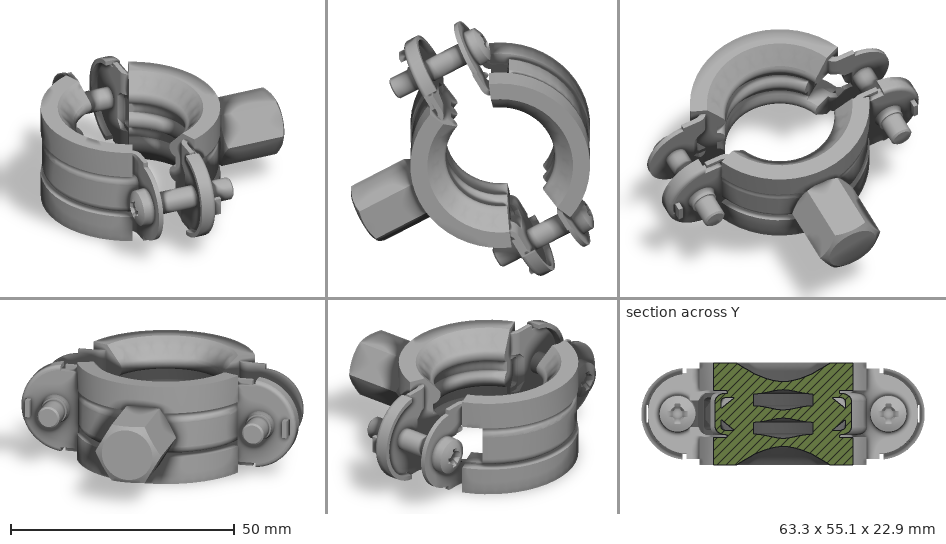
import cadquery as cq
import math


liner_width = 22.85
liner_radius = 20.1
liner_mouth_radius = 16.3
groove_radius = 14.1
ridge_radius = 1.9
ridge_spacing = 6.35
lip_gap = 10.4
gap_angle = 22.0

sheet = 1.1
band_radius = 17.7
band_inner_radius = band_radius - sheet
band_width = 20.15
ear_outer_y = 6.15
ear_inner_y = ear_outer_y - sheet
ear_round_x = 21.3
ear_round_radius = 8.9
ear_step_x = 21.6
bend_end_angle = gap_angle + 2
bend_inner_x = 17.5
bend_outer_x = 18.2

bead_radius = 19.75
bead_width = 9.4
bead_rounding = 1.9
rib_tip_width = 2.55

mouth_flare_x = 17.35
mouth_inner_x = 19.0
mouth_outer_x = 17.8
mouth_width = 5.8

window_angle = 35.0
window_end_x = 21.0

cap_center_x = 21.4
cap_radius = 10.25
cap_top_y = ear_outer_y + sheet
cap_skirt_y = 3.75
cap_inner_x = 18.35
cap_round_start_x = 22.5
cap_base_width = 18.0
cap_rounding = 0.95
skirt_thickness = 1.0
tab_outer_x = 30.15
tab_thickness = 1.0
tab_top_y = 9.0
tab_width = 3.9
tab_opening = 0.4
collar_diameter = 5.8
collar_top_y = 8.85
collar_base_y = 8.0
collar_flare_diameter = 6.65

screw_x = 23.55
shank_diameter = 5.0
shank_end_y = 14.0
shank_chamfer = 0.4
head_diameter = 8.35
head_rim_diameter = 8.0
head_rim_height = 2.4
head_height = 3.6
recess_length = 5.3
recess_width = 1.3
recess_floor_diameter = 2.3
recess_mouth_diameter = 3.55
recess_depth = 1.4

nut_corner_diameter = 15.2
nut_end_y = 34.95
nut_start_y = 19.5
nut_end_land_radius = 5.8
nut_chamfer_angle = 30.0


def polar(radius, degrees):
    angle = math.radians(degrees)
    return (radius * math.cos(angle), radius * math.sin(angle))


def revolve_z(section):
    """Full turn about Z of a section drawn as (radius, Z)."""
    return section.close().revolve(360, (0, 0, 0), (0, 1, 0))


def revolve_y(section, x):
    """Full turn, about a line parallel to Y at the given X, of a section drawn as (radius, Y)."""
    return section.close().revolve(360, (0, 0, 0), (0, 1, 0)).translate((x, 0, 0))


def plate(start_y, thickness):
    """Workplane at start_y with local (X, Z), and the extrusion that thickens it towards +Y."""
    return cq.Workplane("XZ", origin=(0, start_y, 0)), -thickness


def block(x_min, x_max, y_min, y_max, width):
    """Box centred on Z = 0."""
    size = (x_max - x_min, y_max - y_min, width)
    middle = ((x_min + x_max) / 2, (y_min + y_max) / 2, 0)
    return cq.Workplane("XY").box(*size).translate(middle)


def mirror_x(solid):
    return solid.mirror("YZ")


def both_sides(solid):
    return solid.union(mirror_x(solid))


def cone_end(side=1):
    """Point (radius, Z) where the mouth cone runs tangentially into an outer ridge."""
    run = liner_mouth_radius - groove_radius
    rise = liner_width / 2 - ridge_spacing
    direction = math.atan2(rise, run) + math.acos(ridge_radius / math.hypot(run, rise))
    offset = polar(ridge_radius, math.degrees(direction))
    return (groove_radius + offset[0], side * (ridge_spacing + offset[1]))


def make_liner():
    """Upper liner half: three inner ridges, outer lips clasping the band and a rib in the bead."""
    half = liner_width / 2
    bead_hollow_radius = bead_radius - sheet
    bead_hollow_half = bead_width / 2 - sheet
    side = [
        (bead_hollow_radius, rib_tip_width / 2),
        (band_inner_radius, bead_hollow_half),
        (band_inner_radius, lip_gap / 2),
        (liner_radius, lip_gap / 2),
        (liner_radius, half),
        (liner_mouth_radius, half),
        cone_end(),
    ]
    lower_side = [(radius, -z) for radius, z in reversed(side)]
    section = cq.Workplane("XZ").polyline(lower_side + side)
    ridge_tip = groove_radius - ridge_radius
    ridges = [
        (ridge_spacing, (groove_radius, ridge_spacing - ridge_radius)),
        (0, (groove_radius, -ridge_radius)),
        (-ridge_spacing, cone_end(-1)),
    ]
    for middle, ridge_end in ridges:
        if middle < ridge_spacing:
            section = section.lineTo(groove_radius, middle + ridge_radius)
        section = section.threePointArc((ridge_tip, middle), ridge_end)
    reach = 2 * liner_radius
    sector = (
        cq.Workplane("XY", origin=(0, 0, -half))
        .polyline([(0, 0), polar(reach, gap_angle), (0, reach), polar(reach, 180 - gap_angle)])
        .close()
        .extrude(liner_width)
    )
    return revolve_z(section).intersect(sector)


def ear_outline_solid():
    """Plan shape of one ear: a straight part with a narrower round end."""
    plane, depth = plate(0, liner_radius)
    straight = block(0, ear_step_x, 0, liner_radius, band_width)
    return straight.union(plane.center(ear_round_x, 0).circle(ear_round_radius).extrude(depth))


def bend_outer_middle(band_point):
    """Middle of the arc that leaves the outer face of the ear tangentially and ends at band_point."""
    run = bend_outer_x - band_point[0]
    rise = band_point[1] - ear_outer_y
    radius = (run**2 + rise**2) / (2 * rise)
    half_turn = math.atan2(rise, run)
    return (bend_outer_x - radius * math.sin(half_turn), ear_outer_y + radius * (1 - math.cos(half_turn)))


def make_band():
    """Upper half band: arc, bends and ears, bent from one strip."""
    ear_end = ear_round_x + ear_round_radius
    inner = polar(band_inner_radius, bend_end_angle)
    outer = polar(band_radius, bend_end_angle)
    arc = (
        cq.Workplane("XY", origin=(0, 0, -band_width / 2))
        .moveTo(*inner)
        .threePointArc((0, band_inner_radius), (-inner[0], inner[1]))
        .lineTo(-outer[0], outer[1])
        .threePointArc((0, band_radius), outer)
        .close()
        .extrude(band_width)
    )
    ear = (
        cq.Workplane("XY", origin=(0, 0, -band_width / 2))
        .moveTo(ear_end, ear_inner_y)
        .lineTo(bend_inner_x, ear_inner_y)
        .tangentArcPoint(inner, relative=False)
        .lineTo(*outer)
        .threePointArc(bend_outer_middle(outer), (bend_outer_x, ear_outer_y))
        .lineTo(ear_end, ear_outer_y)
        .close()
        .extrude(band_width)
    )
    ear = ear.intersect(ear_outline_solid())
    return arc.union(both_sides(ear))


def bead_envelope(radius, width, rounding, floor_radius):
    return (
        cq.Workplane("XY", origin=(0, 0, -width / 2))
        .circle(radius)
        .extrude(width)
        .edges()
        .fillet(rounding)
        .cut(cq.Workplane("XY").circle(floor_radius).extrude(width, both=True))
    )


def make_mouth():
    """Cutter for the right ear: narrows away from the pipe and towards the outer face."""
    plane, depth = plate(ear_inner_y, sheet)
    wide = bead_width / 2
    narrow = mouth_width / 2
    outline = [
        (0, -wide),
        (mouth_flare_x, -wide),
        (mouth_inner_x, -narrow),
        (mouth_inner_x, narrow),
        (mouth_flare_x, wide),
        (0, wide),
    ]
    slope = [(0, ear_inner_y), (mouth_inner_x, ear_inner_y), (mouth_outer_x, ear_outer_y), (0, ear_outer_y)]
    wedge = cq.Workplane("XY").polyline(slope).close().extrude(wide, both=True)
    return plane.polyline(outline).close().extrude(depth).intersect(wedge)


def make_half():
    """Upper clamp half; the hollow bead runs out through the ears."""
    bead = bead_envelope(bead_radius, bead_width, bead_rounding, band_inner_radius)
    hollow = bead_envelope(
        bead_radius - sheet, bead_width - 2 * sheet, bead_rounding - sheet, band_inner_radius
    )
    reach = 2 * liner_radius
    upper_bead = bead.intersect(block(-reach, reach, ear_inner_y, reach, bead_width))
    band = make_band().union(upper_bead).cut(hollow).cut(both_sides(make_mouth()))
    return make_liner().union(band)


def make_window():
    """Cutter for the lower left ear and bend, and for the bead and liner up to a radial end."""
    neck = block(-window_end_x, 0, -cap_top_y, 0, mouth_width)
    flare = [
        (-mouth_flare_x, -bead_width / 2),
        (-mouth_inner_x, -mouth_width / 2),
        (-mouth_inner_x, mouth_width / 2),
        (-mouth_flare_x, bead_width / 2),
        (0, bead_width / 2),
        (0, -bead_width / 2),
    ]
    plane, depth = plate(-liner_radius, liner_radius)
    opening = plane.polyline(flare).close().extrude(depth).union(neck)
    reach = 2 * liner_radius
    corner = polar(reach, 180 + window_angle)
    sector = (
        cq.Workplane("XY")
        .polyline([(0, 0), corner, (-reach, corner[1]), (-reach, 0)])
        .close()
        .extrude(bead_width, both=True)
    )
    return opening.intersect(sector)


def make_cap():
    """Right-hand cap: plate on the ear, skirt around its round end, locking tab and screw collar."""
    plane, depth = plate(cap_skirt_y, cap_top_y - cap_skirt_y)
    cup = plane.center(cap_center_x, 0).circle(cap_radius).extrude(depth)
    cup = cup.faces(">Y").edges().fillet(cap_rounding)
    inside, inside_depth = plate(cap_skirt_y, ear_outer_y - cap_skirt_y)
    cup = cup.cut(
        inside.center(cap_center_x, 0).circle(cap_radius - skirt_thickness).extrude(inside_depth)
    )
    cup = cup.intersect(block(cap_round_start_x, cap_center_x + cap_radius, 0, cap_top_y, 2 * cap_radius))
    opening_x = tab_outer_x + tab_opening
    cup = cup.cut(block(tab_outer_x, opening_x, ear_outer_y, cap_top_y, tab_width))
    base = block(cap_inner_x, cap_round_start_x, ear_outer_y, cap_top_y, cap_base_width)
    tab = block(tab_outer_x - tab_thickness, tab_outer_x, ear_outer_y, tab_top_y, tab_width)
    collar = revolve_y(
        cq.Workplane("XY")
        .moveTo(0, ear_outer_y)
        .lineTo(collar_flare_diameter / 2, ear_outer_y)
        .lineTo(collar_flare_diameter / 2, cap_top_y)
        .lineTo(collar_diameter / 2, collar_base_y)
        .lineTo(collar_diameter / 2, collar_top_y)
        .lineTo(0, collar_top_y),
        screw_x,
    )
    return cup.union(base).union(tab).union(collar)


def make_screw(x):
    """Pan-head screw with a cross recess; the head bears on the lower ear."""
    seat_y = -ear_outer_y
    rim_y = seat_y - head_rim_height
    tip_y = seat_y - head_height
    rim_radius = head_rim_diameter / 2
    dome_height = rim_y - tip_y
    dome_radius = (rim_radius**2 + dome_height**2) / (2 * dome_height)
    middle_radius = rim_radius / 2
    middle_y = tip_y + dome_radius - math.sqrt(dome_radius**2 - middle_radius**2)
    screw = revolve_y(
        cq.Workplane("XY")
        .moveTo(0, shank_end_y)
        .lineTo(shank_diameter / 2 - shank_chamfer, shank_end_y)
        .lineTo(shank_diameter / 2, shank_end_y - shank_chamfer)
        .lineTo(shank_diameter / 2, seat_y)
        .lineTo(head_diameter / 2, seat_y)
        .lineTo(rim_radius, rim_y)
        .threePointArc((middle_radius, middle_y), (0, tip_y)),
        x,
    )
    floor_y = tip_y + recess_depth
    recess = revolve_y(
        cq.Workplane("XY")
        .moveTo(0, tip_y)
        .lineTo(recess_mouth_diameter / 2, tip_y)
        .lineTo(recess_floor_diameter / 2, floor_y)
        .lineTo(0, floor_y),
        0,
    )
    arms = (
        cq.Workplane("XY")
        .moveTo(-recess_length / 2, tip_y)
        .lineTo(recess_length / 2, tip_y)
        .lineTo(recess_floor_diameter / 2, floor_y)
        .lineTo(-recess_floor_diameter / 2, floor_y)
        .close()
        .extrude(recess_width / 2, both=True)
    )
    for turn in (0, 90):
        recess = recess.union(arms.rotate((0, 0, 0), (0, 1, 0), turn))
    return screw.cut(recess.translate((x, 0, 0)))


def make_nut():
    """Long hexagon nut with both ends chamfered, corners on the X axis."""
    plane, depth = plate(nut_start_y, nut_end_y - nut_start_y)
    hexagon = plane.polygon(6, nut_corner_diameter).extrude(depth)
    corner_radius = nut_corner_diameter / 2
    drop = (corner_radius - nut_end_land_radius) * math.tan(math.radians(nut_chamfer_angle))
    turned = revolve_y(
        cq.Workplane("XY")
        .moveTo(0, nut_start_y)
        .lineTo(nut_end_land_radius, nut_start_y)
        .lineTo(corner_radius, nut_start_y + drop)
        .lineTo(corner_radius, nut_end_y - drop)
        .lineTo(nut_end_land_radius, nut_end_y)
        .lineTo(0, nut_end_y),
        0,
    )
    return hexagon.intersect(turned)


upper_half = make_half()
lower_half = upper_half.mirror("XZ").cut(make_window())
clamp = upper_half.union(lower_half).union(both_sides(make_cap())).union(make_nut())
for side in (-1, 1):
    clamp = clamp.union(make_screw(side * screw_x))
result = clamp